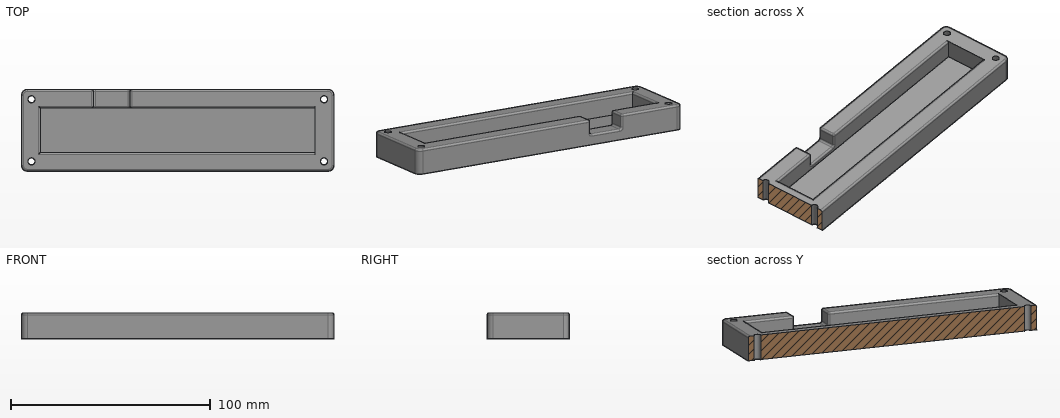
import cadquery as cq

LENGTH = 156.52
WIDTH = 41.1
HEIGHT = 13.0
CORNER_RADIUS = 3.0

EDGE_RADIUS = 1.0

WALL = 9.5
POCKET_DEPTH = 10.0

NOTCH_OFFSET = 26.5
NOTCH_WIDTH = 18.4
NOTCH_DEPTH = 7.5

HOLE_DIAMETER = 3.4
HOLE_INSET = 5.0

TOLERANCE = 0.01

pocket_length = LENGTH - 2 * WALL
pocket_width = WIDTH - 2 * WALL
pocket_right = pocket_length / 2
pocket_back = pocket_width / 2

notch_left = -pocket_length / 2 + NOTCH_OFFSET
notch_right = notch_left + NOTCH_WIDTH
notch_floor = HEIGHT - NOTCH_DEPTH


def make_block():
    """Solid block with rounded vertical corners, sitting on Z = 0."""
    block = cq.Workplane("XY").box(LENGTH, WIDTH, HEIGHT, centered=(True, True, False))
    return block.edges("|Z").fillet(CORNER_RADIUS)


def make_pocket():
    """Sharp-cornered volume of the main pocket."""
    floor = cq.Workplane("XY").workplane(offset=HEIGHT - POCKET_DEPTH)
    return floor.rect(pocket_length, pocket_width).extrude(POCKET_DEPTH)


def make_notch():
    """Volume that opens the pocket through the back wall."""
    floor = cq.Workplane("XY", origin=(notch_left, pocket_back, notch_floor))
    return floor.box(NOTCH_WIDTH, WALL, NOTCH_DEPTH, centered=False)


def make_screw_holes():
    """Four cylinders on a rectangular pattern."""
    pattern = cq.Workplane("XY").rect(
        LENGTH - 2 * HOLE_INSET,
        WIDTH - 2 * HOLE_INSET,
        forConstruction=True,
    )
    return pattern.vertices().circle(HOLE_DIAMETER / 2).extrude(HEIGHT)


def is_rounded(edge):
    """Pick the top rim edges and all notch edges; the right end of the pocket stays sharp."""
    box = edge.BoundingBox()
    on_top = box.zmin > HEIGHT - TOLERANCE
    on_pocket_right_end = (
        abs(box.xmin - pocket_right) < TOLERANCE
        and abs(box.xmax - pocket_right) < TOLERANCE
    )
    in_notch = (
        box.xmin > notch_left - TOLERANCE
        and box.xmax < notch_right + TOLERANCE
        and box.ymin > pocket_back - TOLERANCE
        and box.zmin > notch_floor - TOLERANCE
    )
    return in_notch or (on_top and not on_pocket_right_end)


tray = make_block().cut(make_pocket()).cut(make_notch())
tray = tray.edges().filter(is_rounded).fillet(EDGE_RADIUS)
result = tray.cut(make_screw_holes())